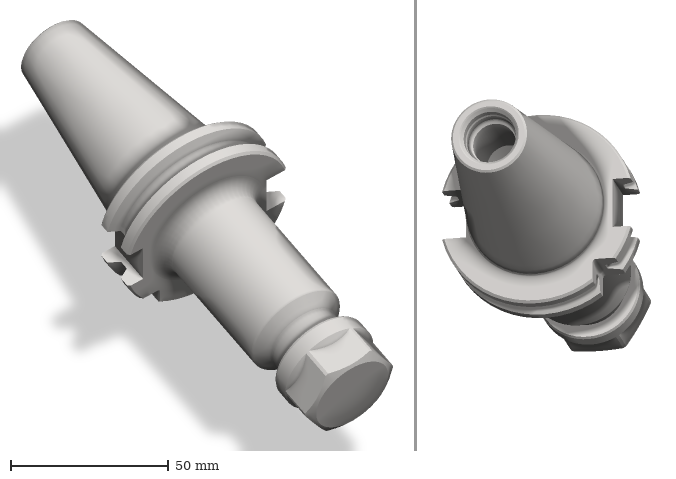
import cadquery as cq
import math


gauge_diameter = 44.45
taper_ratio = 7 / 24
taper_length = 68.25
tail_chamfer = 0.6
gauge_blend_radius = 7.0

mouth_radius = 9.8
mouth_chamfer = 0.4
lead_in_depth = 1.6
pilot_radius = 8.5
pilot_depth = 4.2
step_radius = 8.2
step_start = 4.9
step_depth = 7.8
thread_mouth_radius = 7.95
thread_mouth_depth = 8.15
thread_radius = 7.0
thread_start = 9.0
thread_depth = 30.0
drill_tip_half_angle = 59

flange_back = 3.2
flange_front = 19.1
flange_diameter = 63.51
flange_chamfer = 0.8
flange_root_fillet = 0.7
groove_centre = 11.1
groove_floor_diameter = 56.25
groove_floor_width = 3.3
groove_floor_fillet = 0.6
groove_wall_angle = 30

slot_width = 16.15
near_slot_floor = 25.0
far_slot_floor = 22.8
notch_offset = 18.5
notch_fillet = 1.0

nose_radius = 17.0
root_fillet = 5.0
nose_end = 73.1
shoulder_fillet = 1.0
neck_radius = 12.5
edge_margin = 0.1

nut_back = 81.0
nut_front = 100.0
nut_radius = 17.0
rim_chamfer_length = 0.9
rim_chamfer_radial = 0.5
rim_length = 6.2
hex_across_flats = 30.0
hex_turn = 30
hex_end_chamfer_length = 1.8
hex_end_chamfer_angle = 30

gauge_radius = gauge_diameter / 2
taper_angle = math.atan(taper_ratio / 2)
tail_radius = gauge_radius - taper_length * taper_ratio / 2
flange_radius = flange_diameter / 2
flange_length = flange_front - flange_back


def revolve_about_x(outline):
    """Turn a closed outline, drawn as (x, radius), about the X axis."""
    return outline.close().revolve(360, (0, 0, 0), (1, 0, 0))


def shank():
    """Taper, flange blank, nose and neck as one turned profile."""
    shoulder_start = nose_end - (nose_radius - neck_radius)
    blend_length = gauge_blend_radius * math.tan(taper_angle / 2)
    outline = (
        cq.Workplane("XY")
        .moveTo(-taper_length, 0)
        .lineTo(-taper_length, tail_radius - tail_chamfer)
        .lineTo(-taper_length + tail_chamfer, tail_radius + tail_chamfer * taper_ratio / 2)
        .lineTo(-blend_length * math.cos(taper_angle), gauge_radius - blend_length * math.sin(taper_angle))
        .radiusArc((blend_length, gauge_radius), gauge_blend_radius)
        .lineTo(flange_back - flange_root_fillet, gauge_radius)
        .radiusArc((flange_back, gauge_radius + flange_root_fillet), -flange_root_fillet)
        .lineTo(flange_back, flange_radius - flange_chamfer)
        .lineTo(flange_back + flange_chamfer, flange_radius)
        .lineTo(flange_front - flange_chamfer, flange_radius)
        .lineTo(flange_front, flange_radius - flange_chamfer)
        .lineTo(flange_front, nose_radius + root_fillet)
        .radiusArc((flange_front + root_fillet, nose_radius), -root_fillet)
        .lineTo(shoulder_start, nose_radius)
        .lineTo(nose_end, neck_radius)
        .lineTo(nut_back, neck_radius)
        .lineTo(nut_back, 0)
    )
    shoulder_edges = cq.selectors.BoxSelector(
        (shoulder_start - edge_margin, -nose_radius - edge_margin, -nose_radius - edge_margin),
        (nose_end + edge_margin, nose_radius + edge_margin, nose_radius + edge_margin),
        boundingbox=True,
    )
    return revolve_about_x(outline).edges(shoulder_edges).edges("%CIRCLE").fillet(shoulder_fillet)


def gripper_groove():
    """V-shaped ring that is cut around the flange."""
    depth = flange_radius - groove_floor_diameter / 2
    floor_half = groove_floor_width / 2
    mouth_half = floor_half + depth * math.tan(math.radians(groove_wall_angle))
    outline = (
        cq.Workplane("XY")
        .moveTo(groove_centre - floor_half, flange_radius - depth)
        .lineTo(groove_centre + floor_half, flange_radius - depth)
        .lineTo(groove_centre + mouth_half, flange_radius)
        .lineTo(groove_centre - mouth_half, flange_radius)
    )
    floor_edges = cq.selectors.RadiusNthSelector(0)
    return revolve_about_x(outline).edges("%CIRCLE").edges(floor_edges).fillet(groove_floor_fillet)


def pull_stud_bore():
    """Chamfered mouth, conical lead-in, stepped pilot and thread bore with a conical bottom."""
    mouth = -taper_length
    tip_length = thread_radius / math.tan(math.radians(drill_tip_half_angle))
    outline = (
        cq.Workplane("XY")
        .moveTo(mouth, 0)
        .lineTo(mouth, mouth_radius)
        .lineTo(mouth + mouth_chamfer, mouth_radius - mouth_chamfer)
        .lineTo(mouth + lead_in_depth, pilot_radius)
        .lineTo(mouth + pilot_depth, pilot_radius)
        .lineTo(mouth + step_start, step_radius)
        .lineTo(mouth + step_depth, step_radius)
        .lineTo(mouth + thread_mouth_depth, thread_mouth_radius)
        .lineTo(mouth + thread_start, thread_radius)
        .lineTo(mouth + thread_depth, thread_radius)
        .lineTo(mouth + thread_depth + tip_length, 0)
    )
    return revolve_about_x(outline)


def flange_cutter(y_size, z_size):
    """Block as long as the flange, with its lowest X, Y, Z corner at the flange back on the axis."""
    return cq.Workplane("XY").box(flange_length, y_size, z_size, centered=False).translate((flange_back, 0, 0))


def drive_slots():
    """Two slots across the flange rim, of unequal depth."""
    block = flange_cutter(flange_radius, slot_width).translate((0, 0, -slot_width / 2))
    far_slot = block.translate((0, far_slot_floor, 0))
    near_slot = block.translate((0, -near_slot_floor - flange_radius, 0))
    return far_slot.union(near_slot)


def orientation_notch():
    """Corner notch on the -Y, -Z side with a rounded inner corner."""
    block = flange_cutter(flange_radius, flange_radius).edges("|X and >Y and >Z").fillet(notch_fillet)
    return block.translate((0, -notch_offset - flange_radius, -notch_offset - flange_radius))


def chuck_body():
    body = shank().cut(gripper_groove()).cut(drive_slots()).cut(orientation_notch())
    return body.cut(pull_stud_bore())


def clamping_nut():
    """Round rim and hexagon with its corners on the Y axis, trimmed by the turned outline."""
    rim_end = nut_back + rim_length
    flat_radius = hex_across_flats / 2
    end_chamfer_radial = hex_end_chamfer_length / math.tan(math.radians(hex_end_chamfer_angle))
    blank = revolve_about_x(
        cq.Workplane("XY")
        .moveTo(nut_back, 0)
        .lineTo(nut_back, nut_radius - rim_chamfer_radial)
        .lineTo(nut_back + rim_chamfer_length, nut_radius)
        .lineTo(nut_front - hex_end_chamfer_length, nut_radius)
        .lineTo(nut_front, nut_radius - end_chamfer_radial)
        .lineTo(nut_front, 0)
    )
    rim_cone = revolve_about_x(
        cq.Workplane("XY")
        .moveTo(nut_back, 0)
        .lineTo(nut_back, nut_radius)
        .lineTo(rim_end, nut_radius)
        .lineTo(rim_end + nut_radius - flat_radius, flat_radius)
        .lineTo(rim_end + nut_radius - flat_radius, 0)
    )
    hexagon = (
        cq.Workplane("YZ", origin=(nut_back, 0, 0))
        .polygon(6, hex_across_flats, circumscribed=True)
        .extrude(nut_front - nut_back)
        .rotate((0, 0, 0), (1, 0, 0), hex_turn)
    )
    return blank.intersect(hexagon.union(rim_cone))


body = chuck_body()
nut = clamping_nut()
result = cq.Compound.makeCompound([body.val(), nut.val()])